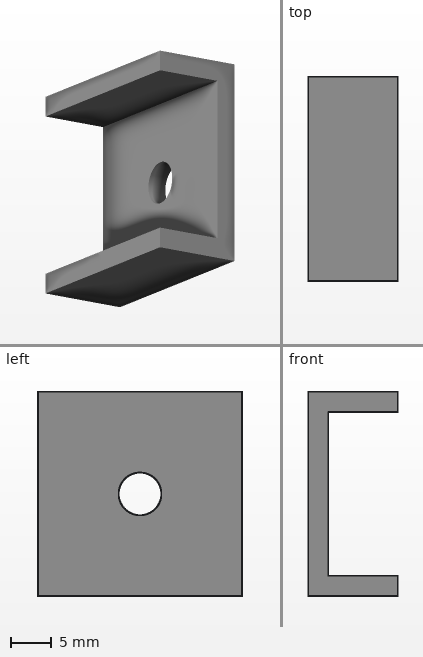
import cadquery as cq

depth = 11.0
side = 25.0
wall = 2.5
hole_diameter = 5.2

block = cq.Workplane("XY").box(depth, side, side, centered=(False, True, True))

channel = (
    cq.Workplane("XY")
    .box(depth - wall, side, side - 2 * wall, centered=(False, True, True))
    .translate((wall, 0, 0))
)

hole = cq.Workplane("YZ").circle(hole_diameter / 2).extrude(wall)

result = block.cut(channel).cut(hole)